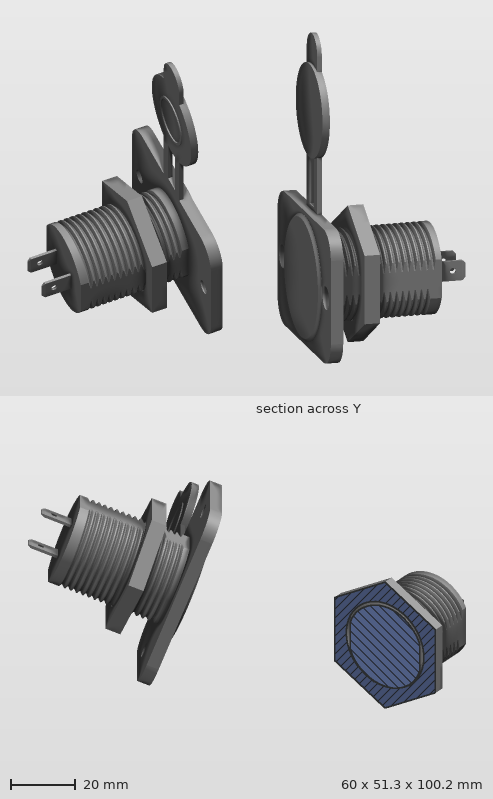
import cadquery as cq
import math


PLATE_WIDTH = 60.02
PLATE_HEIGHT = 42.9
PLATE_THICKNESS = 4.0
PLATE_CORNER_RADIUS = 8.0
SCREW_HOLE_FRONT_DIAMETER = 4.5
SCREW_HOLE_REAR_DIAMETER = 7.4
SCREW_SPACING = 48.8

LID_RADIUS = 15.0
LID_THICKNESS = 2.4
LID_CENTRE_Z = 53.55
STRAP_WIDTH = 11.8
STRAP_THICKNESS = 1.5
STRAP_TOP_Z = 78.24
SLOT_WIDTH = 5.2
SLOT_BOTTOM_Z = 22.9
RIM_OUTER_RADIUS = 8.08
RIM_INNER_RADIUS = 7.25
RIM_HEIGHT = 0.4

FLANGE_RADIUS = 20.0
FLANGE_HEIGHT = 1.0
FLANGE_CHAMFER = 0.95
BODY_RADIUS = 14.5
BODY_LENGTH = 36.5
BODY_FLATS_WIDTH = 26.2

THREAD_PITCH = 2.0
THREAD_TURNS = 16
THREAD_START = 1.9
THREAD_DEPTH = 1.05
THREAD_ANGLE = 60.0
THREAD_ROOT_WIDTH = 0.4
THREAD_OVERCUT = 0.2

NUT_ACROSS_FLATS = 38.1
NUT_THICKNESS = 5.0
NUT_TO_PLATE = 10.0

TERMINAL_SPACING = 10.85
TERMINAL_THICKNESS = 0.9
TERMINAL_WIDTH = 6.4
TERMINAL_LENGTH = 9.8
TERMINAL_TIP_LENGTH = 1.0
TERMINAL_TIP_THICKNESS = 0.3
TERMINAL_TIP_WIDTH = 4.4
TERMINAL_HOLE_DIAMETER = 2.0
TERMINAL_HOLE_FROM_BODY = 5.7


def facing_panel(y):
    """Workplane at the given Y whose normal is -Y, with X to the right and Z up."""
    return cq.Workplane("XZ", origin=(0, y, 0))


def flats_slab(y, length):
    """Slab between the two flats of the socket body, running from y toward -Y."""
    return facing_panel(y).rect(BODY_FLATS_WIDTH, 3 * BODY_RADIUS).extrude(length)


def make_screw_hole(x):
    """Conical screw hole through the plate, wider on the flange side."""
    return (
        facing_panel(0)
        .center(x, 0)
        .circle(SCREW_HOLE_FRONT_DIAMETER / 2)
        .workplane(offset=-PLATE_THICKNESS)
        .circle(SCREW_HOLE_REAR_DIAMETER / 2)
        .loft()
    )


def make_cover():
    """Panel plate carrying the sealing cap: strap, round lid and pull tab."""
    plate = (
        facing_panel(PLATE_THICKNESS)
        .rect(PLATE_WIDTH, PLATE_HEIGHT)
        .extrude(PLATE_THICKNESS)
        .edges("|Y")
        .fillet(PLATE_CORNER_RADIUS)
    )

    strap_end_z = STRAP_TOP_Z - STRAP_WIDTH / 2
    strap = (
        facing_panel(STRAP_THICKNESS)
        .moveTo(-STRAP_WIDTH / 2, 0)
        .lineTo(STRAP_WIDTH / 2, 0)
        .lineTo(STRAP_WIDTH / 2, strap_end_z)
        .threePointArc((0, STRAP_TOP_Z), (-STRAP_WIDTH / 2, strap_end_z))
        .close()
        .extrude(STRAP_THICKNESS)
    )
    slot_length = LID_CENTRE_Z - SLOT_BOTTOM_Z
    slot = (
        facing_panel(STRAP_THICKNESS)
        .center(0, SLOT_BOTTOM_Z + slot_length / 2)
        .rect(SLOT_WIDTH, slot_length)
        .extrude(STRAP_THICKNESS)
    )
    lid = facing_panel(LID_THICKNESS).center(0, LID_CENTRE_Z).circle(LID_RADIUS).extrude(LID_THICKNESS)
    rim = (
        facing_panel(0)
        .center(0, LID_CENTRE_Z)
        .circle(RIM_OUTER_RADIUS)
        .circle(RIM_INNER_RADIUS)
        .extrude(RIM_HEIGHT)
    )

    body_hole = facing_panel(PLATE_THICKNESS).circle(BODY_RADIUS).extrude(PLATE_THICKNESS)
    body_hole = body_hole.intersect(flats_slab(PLATE_THICKNESS, PLATE_THICKNESS))
    cover = plate.union(strap.cut(slot)).union(lid).union(rim)
    cover = cover.cut(body_hole)
    for side in (-1, 1):
        cover = cover.cut(make_screw_hole(side * SCREW_SPACING / 2))
    return cover


def make_thread_turns():
    """Right-handed helical groove, one solid per turn; the turns meet outside the flat on the -X side."""
    root_radius = BODY_RADIUS - THREAD_DEPTH
    cut_depth = THREAD_DEPTH + THREAD_OVERCUT
    half_root = THREAD_ROOT_WIDTH / 2
    half_mouth = half_root + cut_depth * math.tan(math.radians(THREAD_ANGLE / 2))
    helix = cq.Wire.makeHelix(THREAD_PITCH, THREAD_PITCH, root_radius)
    turn = (
        cq.Workplane("XZ", origin=(root_radius, 0, 0))
        .moveTo(0, -half_root)
        .lineTo(0, half_root)
        .lineTo(cut_depth, half_mouth)
        .lineTo(cut_depth, -half_mouth)
        .close()
        .sweep(cq.Workplane(obj=helix), isFrenet=True)
        .rotate((0, 0, 0), (0, 0, 1), 180)
        .rotate((0, 0, 0), (1, 0, 0), 90)
    )
    starts = [THREAD_START + index * THREAD_PITCH for index in range(THREAD_TURNS)]
    return [turn.translate((0, -start, 0)) for start in starts]


def make_socket():
    """Flanged socket body that passes through the plate, threaded and with two flats."""
    length_from_flange = PLATE_THICKNESS + BODY_LENGTH
    barrel = facing_panel(PLATE_THICKNESS).circle(BODY_RADIUS).extrude(length_from_flange)
    barrel = barrel.intersect(flats_slab(PLATE_THICKNESS, length_from_flange))
    flange = (
        facing_panel(PLATE_THICKNESS + FLANGE_HEIGHT)
        .circle(FLANGE_RADIUS)
        .extrude(FLANGE_HEIGHT)
        .faces(">Y")
        .chamfer(FLANGE_CHAMFER)
    )
    socket = barrel.union(flange)
    for turn in make_thread_turns():
        socket = socket.cut(turn)
    return socket


def make_nut():
    """Hexagonal nut with corners at top and bottom and a plain round bore."""
    across_corners = NUT_ACROSS_FLATS / math.cos(math.radians(30))
    return (
        facing_panel(-NUT_TO_PLATE)
        .transformed(rotate=(0, 0, 90))
        .polygon(6, across_corners)
        .circle(BODY_RADIUS)
        .extrude(NUT_THICKNESS)
    )


def make_terminal(x):
    """Blade terminal standing on the end face of the socket body, with a tapered tip."""
    straight_length = TERMINAL_LENGTH - TERMINAL_TIP_LENGTH
    blade = (
        facing_panel(-BODY_LENGTH)
        .center(x, 0)
        .rect(TERMINAL_THICKNESS, TERMINAL_WIDTH)
        .extrude(straight_length)
    )
    tip = (
        facing_panel(-BODY_LENGTH - straight_length)
        .center(x, 0)
        .rect(TERMINAL_THICKNESS, TERMINAL_WIDTH)
        .workplane(offset=TERMINAL_TIP_LENGTH)
        .rect(TERMINAL_TIP_THICKNESS, TERMINAL_TIP_WIDTH)
        .loft()
    )
    hole = (
        cq.Workplane("YZ", origin=(x, -BODY_LENGTH - TERMINAL_HOLE_FROM_BODY, 0))
        .circle(TERMINAL_HOLE_DIAMETER / 2)
        .extrude(TERMINAL_THICKNESS, both=True)
    )
    return blade.union(tip).cut(hole)


cover = make_cover()
socket = make_socket()
nut = make_nut()
terminals = [make_terminal(side * TERMINAL_SPACING / 2) for side in (-1, 1)]

result = cq.Compound.makeCompound(
    [cover.val(), socket.val(), nut.val(), *[terminal.val() for terminal in terminals]]
)